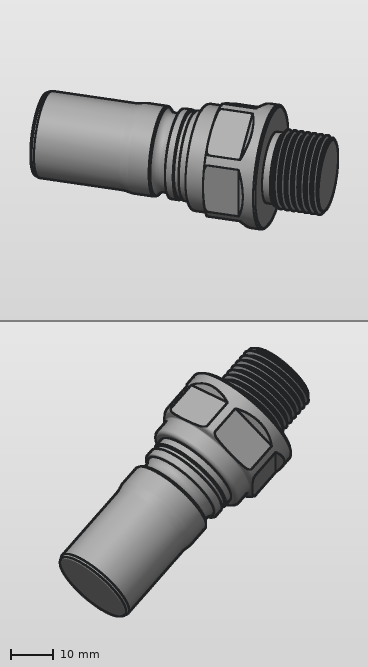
import cadquery as cq
import math

length = 70.85

nose_radius = 10.5
nose_face_radius = 9.7
nose_round = 0.4
nose_taper_end = 1.1

land_radius = 10.9
cone_start = 22.2
cone_end = 24.2
cone_blend = 3.1

lock_bottom_x = 31.7
lock_bottom_radius = 9.6
lock_left_arc = 2.0
lock_right_arc = 3.05
lock_left_x = 29.9
lock_edge_x = 29.55
lock_wall_x = 33.45
lock_wall_round = 0.35

slit_start = 35.5
slit_end = 37.0
slit_side = 0.2
slit_radius = 10.5

collar_start = 39.0
collar_radius = 12.9
collar_round = 1.0

hex_start = 43.65
hex_root_fillet = 0.4
hex_face_lean = 15.0
hex_round = 1.05
flat_count = 6
flat_distance = 13.5
flat_end = 52.5
flange_diameter = 30.0
flange_radius = flange_diameter / 2
flange_end = 56.9
flange_edge = 0.4

core_diameter = 17.2
core_radius = core_diameter / 2
thread_radius = 9.6
thread_start = 58.8
thread_lead = 0.8
lead_clearance = 0.35
crest_count = 8
crest_span = 11.1
thread_pitch = crest_span / (crest_count - 1)
thread_half_angle = 30.0
crest_x_at_top = 59.8
crest_half_width = 0.085
root_overlap = 0.15
spare_turns = 2


def revolve(outline):
    """Close an (X, radius) outline and turn it about the X axis."""
    return outline.close().revolve(360, (0, 0, 0), (1, 0, 0))


def lock_point(arc_radius, x):
    """Point of the locking groove at X, on an arc whose lowest point is the groove bottom."""
    rise = arc_radius - math.sqrt(arc_radius**2 - (x - lock_bottom_x) ** 2)
    return (x, lock_bottom_radius + rise)


def round_middle(center, radius, x_side, r_side):
    """Middle point of a quarter round about a centre, on the given side of it."""
    offset = radius * math.sqrt(0.5)
    return (center[0] + x_side * offset, center[1] + r_side * offset)


def nose_and_land():
    """Nose and seal land, up to the collar, with both grooves."""
    nose_center = (nose_round, nose_face_radius)
    wall_center = (lock_wall_x + lock_wall_round, land_radius - lock_wall_round)
    cone_angle = math.atan2(land_radius - nose_radius, cone_end - cone_start)
    blend_length = cone_blend * math.tan(cone_angle / 2)
    blend_x = blend_length * math.cos(cone_angle)
    blend_r = blend_length * math.sin(cone_angle)
    outline = (
        cq.Workplane("XY")
        .lineTo(0, nose_face_radius)
        .threePointArc(
            round_middle(nose_center, nose_round, -1, 1),
            (nose_round, nose_face_radius + nose_round),
        )
        .lineTo(nose_taper_end, nose_radius)
        .lineTo(cone_start - blend_length, nose_radius)
        .tangentArcPoint((cone_start + blend_x, nose_radius + blend_r), relative=False)
        .lineTo(cone_end - blend_x, land_radius - blend_r)
        .tangentArcPoint((cone_end + blend_length, land_radius), relative=False)
        .lineTo(lock_edge_x, land_radius)
        .lineTo(*lock_point(lock_left_arc, lock_left_x))
        .threePointArc(
            lock_point(lock_left_arc, (lock_left_x + lock_bottom_x) / 2),
            (lock_bottom_x, lock_bottom_radius),
        )
        .threePointArc(
            lock_point(lock_right_arc, (lock_bottom_x + lock_wall_x) / 2),
            lock_point(lock_right_arc, lock_wall_x),
        )
        .lineTo(lock_wall_x, wall_center[1])
        .threePointArc(
            round_middle(wall_center, lock_wall_round, -1, 1),
            (wall_center[0], land_radius),
        )
        .lineTo(slit_start, land_radius)
        .lineTo(slit_start + slit_side, slit_radius)
        .lineTo(slit_end - slit_side, slit_radius)
        .lineTo(slit_end, land_radius)
        .lineTo(collar_start, land_radius)
        .lineTo(collar_start, 0)
    )
    return revolve(outline)


def collar_and_flange():
    """Collar and the full cylinder that carries the hexagon and the flange."""
    collar_center = (collar_start + collar_round, collar_radius - collar_round)
    root_center = (hex_start - hex_root_fillet, collar_radius + hex_root_fillet)
    lean = math.radians(hex_face_lean)
    face_top_r = flange_radius - hex_round * (1 - math.sin(lean))
    face_top_x = hex_start + (face_top_r - root_center[1]) * math.tan(lean)
    hex_round_end_x = face_top_x + hex_round * math.cos(lean)
    outline = (
        cq.Workplane("XY")
        .moveTo(collar_start, 0)
        .lineTo(collar_start, collar_center[1])
        .threePointArc(
            round_middle(collar_center, collar_round, -1, 1),
            (collar_center[0], collar_radius),
        )
        .lineTo(root_center[0], collar_radius)
        .threePointArc(
            round_middle(root_center, hex_root_fillet, 1, -1),
            (hex_start, root_center[1]),
        )
        .lineTo(face_top_x, face_top_r)
        .tangentArcPoint((hex_round_end_x, flange_radius), relative=False)
        .lineTo(flange_end - flange_edge, flange_radius)
        .lineTo(flange_end, flange_radius - flange_edge)
        .lineTo(flange_end, 0)
    )
    return revolve(outline)


def flat_cutters():
    """Six cutters for the wrench flats, each running out along a 45 degree plane."""
    cut_depth = 2 * (flange_radius - flat_distance)
    profile = [
        (hex_start, flat_distance),
        (flat_end, flat_distance),
        (flat_end + cut_depth, flat_distance + cut_depth),
        (hex_start, flat_distance + cut_depth),
    ]
    cutter = cq.Workplane("XY").polyline(profile).close().extrude(flange_radius, both=True)
    return [
        cutter.rotate((0, 0, 0), (1, 0, 0), i * 360 / flat_count) for i in range(flat_count)
    ]


def spigot_core():
    """Plain cylinder under the thread."""
    return cq.Workplane("YZ", origin=(flange_end, 0, 0)).circle(core_radius).extrude(length - flange_end)


def thread_ridge():
    """Right-handed V ridge around the core, tapered down to the core at both ends."""
    base_radius = core_radius - root_overlap
    base_half_width = crest_half_width + (thread_radius - base_radius) * math.tan(
        math.radians(thread_half_angle)
    )
    helix_start = crest_x_at_top - spare_turns * thread_pitch
    turns = math.ceil((length - helix_start) / thread_pitch) + spare_turns
    helix = cq.Wire.makeHelix(thread_pitch, turns * thread_pitch, core_radius)
    section = (
        cq.Workplane("XZ")
        .moveTo(base_radius, -base_half_width)
        .lineTo(thread_radius, -crest_half_width)
        .lineTo(thread_radius, crest_half_width)
        .lineTo(base_radius, base_half_width)
        .close()
    )
    ridge = (
        section.sweep(cq.Workplane(helix), isFrenet=True)
        .rotate((0, 0, 0), (0, 1, 0), 90)
        .rotate((0, 0, 0), (1, 0, 0), 180)
        .translate((helix_start, 0, 0))
    )
    lead = thread_lead + lead_clearance
    clear_radius = core_radius + lead * (thread_radius - core_radius) / thread_lead
    envelope = (
        cq.Workplane("XY")
        .moveTo(thread_start, 0)
        .lineTo(thread_start, core_radius)
        .lineTo(thread_start + lead, clear_radius)
        .lineTo(length - lead, clear_radius)
        .lineTo(length, core_radius)
        .lineTo(length, 0)
    )
    return ridge.intersect(revolve(envelope))


hexagon = collar_and_flange()
for flat_cutter in flat_cutters():
    hexagon = hexagon.cut(flat_cutter)

result = nose_and_land().union(hexagon).union(spigot_core()).union(thread_ridge())